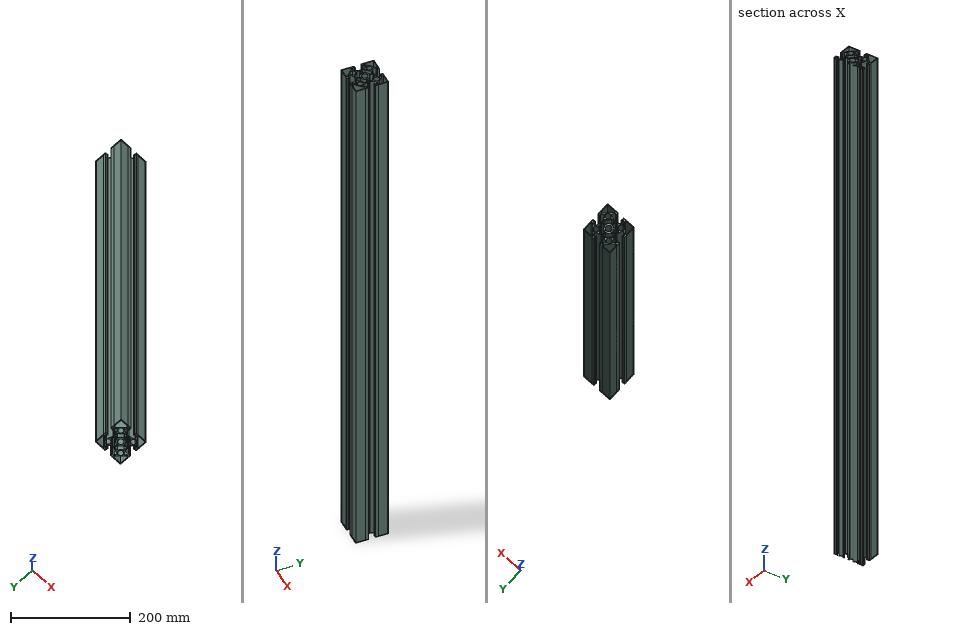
import cadquery as cq


side = 60.0
length = 1000.0
half_side = side / 2

mouth_width = 13.0
mouth_depth = 3.5
throat_width = 12.0
lip_depth = 6.0
pocket_top_width = 18.0
pocket_top_depth = 3.0
pocket_width = 27.0
pocket_depth = 9.5
floor_width = 5.0
pocket_height = 7.5
floor_depth = lip_depth + pocket_height

floor_thickness = 1.2
floor_inner = half_side - floor_depth - floor_thickness

outer_wall = 1.1
hollow_corner = half_side - outer_wall
hollow_leg_length = 17.0
hollow_leg_width = 3.0
notch_far = 13.0
notch_near = 6.5

core_diameter = 17.0
core_bore_diameter = 11.0
web_thickness = 1.6

chamber_half_width = 7.4
chamber_step_in = 5.0
chamber_step_out = 2.6

corner_bore_diameter = 10.0
corner_bore_spacing = 30.0


def diagonal_symmetric(points):
    """Continue an outline with its reflection in the line x = y."""
    return points + [(y, x) for x, y in reversed(points)]


def prism(points):
    return cq.Workplane("XY").polyline(points).close().extrude(length)


def cylinder(diameter, x=0, y=0):
    return cq.Workplane("XY").center(x, y).circle(diameter / 2).extrude(length)


def slot():
    """T-slot opening to the +Y side."""
    right_edge = [
        (mouth_width / 2, half_side),
        (mouth_width / 2, half_side - mouth_depth),
        (throat_width / 2, half_side - mouth_depth),
        (throat_width / 2, half_side - lip_depth),
        (pocket_top_width / 2, half_side - pocket_top_depth),
        (pocket_width / 2, half_side - pocket_depth),
        (floor_width / 2, half_side - floor_depth),
    ]
    left_edge = [(-x, y) for x, y in reversed(right_edge)]
    return prism(right_edge + left_edge)


def corner_hollow():
    """Angle-shaped hollow in the +X +Y corner, cut off towards the corner bore."""
    outer_leg = [
        (hollow_corner, hollow_corner - hollow_leg_length),
        (hollow_corner - hollow_leg_width, hollow_corner - hollow_leg_length),
        (hollow_corner - notch_near, hollow_corner - notch_far),
    ]
    return prism([(hollow_corner, hollow_corner)] + diagonal_symmetric(outer_leg))


def core_chamber():
    """Space between the core, two webs, two slot floors and the +X +Y corner bore."""
    web_face = web_thickness / 2
    edge = [
        (floor_inner, web_face),
        (floor_inner, chamber_half_width),
        (floor_inner - chamber_step_in, chamber_half_width + chamber_step_out),
    ]
    outline = [(web_face, web_face)] + diagonal_symmetric(edge)
    return prism(outline).cut(cylinder(core_diameter))


def corner_bore():
    offset = corner_bore_spacing / 2
    return cylinder(corner_bore_diameter, offset, offset)


result = cq.Workplane("XY").rect(side, side).extrude(length)
quarter_cuts = [slot(), corner_hollow(), core_chamber(), corner_bore()]
for quarter in range(4):
    for cut in quarter_cuts:
        result = result.cut(cut.rotate((0, 0, 0), (0, 0, 1), 90 * quarter))
result = result.cut(cylinder(core_bore_diameter))